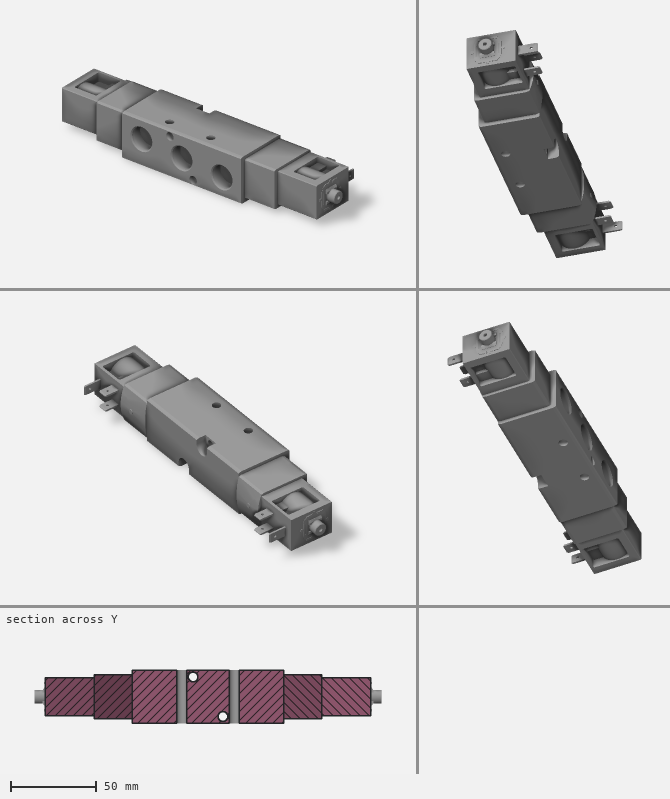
import cadquery as cq


total_length = 202.0
body_length = 88.5
adapter_length = 22.0
coil_length = 28.7
body_end = body_length / 2
adapter_end = body_end + adapter_length
coil_end = adapter_end + coil_length
plunger_end = total_length / 2

body_height = 31.0
back_y = 37.0
body_bevel_y = 2.2
body_bevel_mid_y = 0.8
body_bevel_mid_z = 0.3
body_bevel_z = 0.8
port_diameter = 15.0
port_mouth_diameter = 16.4
port_mouth_chamfer = (port_mouth_diameter - port_diameter) / 2
port_depth = 8.0
port_pitch = 30.0
port_stagger = 2.5
screw_hole_diameter = 5.5
mount_hole_x = 8.7
mount_hole_z = 11.5
screw_recess_width = 10.0
screw_recess_depth = 6.5
cross_hole_x = 15.4
cross_hole_y = 8.0

adapter_height = 26.0
adapter_front_y = 3.6
adapter_bevel_y = 1.8
adapter_bevel_z = 0.6
crown_width = 25.0
crown_rise_outer = 2.6
crown_rise_inner = 1.6
button_diameter = 3.2
button_x = 56.8
button_top_y = 39.6

coil_height = 22.5
coil_front_y = 7.0
coil_chamfer = 0.5
axis_y = 20.0

window_inner_x = 73.4
window_outer_x = 90.0
window_front_y = 12.1
window_back_y = 35.2
window_corner_radius = 1.0
window_floor_z = 5.0
winding_radius = 10.3
block_outer_x = 79.8
block_front_y = 27.5
block_top_z = 7.3

blade_width = 6.3
blade_thickness = 1.2
blade_hole_diameter = 1.65
blade_tip_length = 1.0
blade_tip_chamfer = 0.5
blade_hole_inset = 4.0
side_blade_x = 74.8
side_blade_z = 5.3
side_blade_tip_y = 46.7
end_blade_x = 89.3
end_blade_tip_y = 49.0

plunger_diameter = 8.0
plunger_chamfer = 0.3
plunger_hole_diameter = 2.5
plunger_hole_depth = 2.0
nut_width = 16.5
nut_height = 17.8
nut_corner_radius = 4.9
nut_thickness = 0.2
side_ear_diameter = 2.5
end_ear_diameter = 1.75
ear_offset = 9.3
lug_inner_y = 1.8
lug_outer_y = 5.9
lug_inner_z = 7.3
lug_outer_z = 8.7
lug_rise = 0.5
slot_inner_y = 6.3
slot_outer_y = 7.3
slot_half_length = 3.6
tooth_width = 9.3
tooth_inner_z = 2.5
tooth_tip_z = 3.8
tooth_foot_z = 5.3
tooth_foot_rise = 0.5
tooth_rise = 1.2


def block(x_range, y_range, z_range):
    """Box between two limits on each axis."""
    size = [high - low for low, high in (x_range, y_range, z_range)]
    corner = (x_range[0], y_range[0], z_range[0])
    return cq.Workplane("XY").box(*size, centered=False).translate(corner)


def rod_along_x(diameter, x_start, x_stop, y, z):
    return cq.Workplane("YZ", origin=(x_start, y, z)).circle(diameter / 2).extrude(x_stop - x_start)


def rod_along_y(diameter, y_start, y_stop, x, z):
    plane = cq.Plane(origin=(x, y_start, z), xDir=(1, 0, 0), normal=(0, 1, 0))
    return cq.Workplane(plane).circle(diameter / 2).extrude(y_stop - y_start)


def beveled_bar(x_start, x_stop, front_y, half_height, bevel):
    """Bar along X up to the back face; `bevel` lists the (y, z) setbacks mirrored to all four edges."""
    top_front = [(front_y + dy, half_height - dz) for dy, dz in bevel]
    bottom_front = [(y, -z) for y, z in reversed(top_front)]
    front = top_front + bottom_front
    back = [(front_y + back_y - y, z) for y, z in reversed(front)]
    return (
        cq.Workplane("YZ", origin=(x_start, 0, 0))
        .polyline(front + back)
        .close()
        .extrude(x_stop - x_start)
    )


def port(x, z):
    """Cutter for one port with a countersunk mouth."""
    bore = rod_along_y(port_diameter, 0, port_depth, x, z)
    plane = cq.Plane(origin=(x, 0, z), xDir=(1, 0, 0), normal=(0, 1, 0))
    mouth = (
        cq.Workplane(plane)
        .circle(port_mouth_diameter / 2)
        .workplane(offset=port_mouth_chamfer)
        .circle(port_diameter / 2)
        .loft()
    )
    return bore.union(mouth)


def mount_hole(side):
    """Cutter for a through hole whose recess at the back opens to the top (1) or bottom (-1)."""
    x = -side * mount_hole_x
    z = side * mount_hole_z
    recess_floor_y = back_y - screw_recess_depth
    half_width = screw_recess_width / 2
    hole = rod_along_y(screw_hole_diameter, 0, back_y, x, z)
    recess = rod_along_y(screw_recess_width, recess_floor_y, back_y, x, z)
    opening = block(
        (x - half_width, x + half_width),
        (recess_floor_y, back_y),
        sorted((z, side * body_height / 2)),
    )
    return hole.union(recess).union(opening)


def make_body():
    half_height = body_height / 2
    bevel = [
        (body_bevel_y, 0),
        (body_bevel_mid_y, body_bevel_mid_z),
        (0, body_bevel_z),
    ]
    body = beveled_bar(-body_end, body_end, 0, half_height, bevel)
    for step in (-1, 0, 1):
        body = body.cut(port(step * port_pitch, -step * port_stagger))
    for side in (1, -1):
        body = body.cut(mount_hole(side))
    cross_holes = (
        cq.Workplane("XY", origin=(0, cross_hole_y, -half_height))
        .pushPoints([(-cross_hole_x, 0), (cross_hole_x, 0)])
        .circle(screw_hole_diameter / 2)
        .extrude(body_height)
    )
    return body.cut(cross_holes)


def crown_section(workplane, rise):
    """Closed arch outline standing on the back face of the adapter."""
    half_width = crown_width / 2
    return (
        workplane.moveTo(back_y, -half_width)
        .threePointArc((back_y + rise, 0), (back_y, half_width))
        .close()
    )


def make_adapter():
    half_height = adapter_height / 2
    bevel = [(adapter_bevel_y, 0), (0, adapter_bevel_z)]
    adapter = beveled_bar(body_end, adapter_end, adapter_front_y, half_height, bevel)
    crown = crown_section(cq.Workplane("YZ", origin=(body_end, 0, 0)), crown_rise_inner)
    crown = crown_section(crown.workplane(offset=adapter_length), crown_rise_outer).loft(ruled=True)
    button = rod_along_y(button_diameter, back_y - button_diameter, button_top_y, button_x, 0)
    return adapter.union(crown).union(button)


def coil_window():
    """Cutter for the upper window; it leaves the winding and the terminal block standing."""
    window = block(
        (window_inner_x, window_outer_x),
        (window_front_y, window_back_y),
        (window_floor_z, coil_height / 2),
    )
    window = window.edges("|Z").fillet(window_corner_radius)
    terminal_block = block(
        (window_inner_x, block_outer_x),
        (block_front_y, window_back_y),
        (window_floor_z, block_top_z),
    )
    winding = rod_along_x(2 * winding_radius, window_inner_x, window_outer_x, axis_y, 0)
    return window.cut(terminal_block).cut(winding)


def blade(tip_y):
    """Blade lying flat on the XY plane at x = 0, tapered at its tip and pierced by a round hole."""
    half_width = blade_width / 2
    half_thickness = blade_thickness / 2
    root_y = window_back_y
    shoulder_y = tip_y - blade_tip_length
    stem = block((-half_width, half_width), (root_y, shoulder_y), (-half_thickness, half_thickness))
    tip = (
        cq.Workplane(cq.Plane(origin=(0, shoulder_y, 0), xDir=(1, 0, 0), normal=(0, 1, 0)))
        .rect(blade_width, blade_thickness)
        .workplane(offset=blade_tip_length)
        .rect(blade_width - 2 * blade_tip_chamfer, blade_thickness - 2 * blade_tip_chamfer)
        .loft(ruled=True)
    )
    hole = (
        cq.Workplane("XY", origin=(0, tip_y - blade_hole_inset, -half_thickness))
        .circle(blade_hole_diameter / 2)
        .extrude(blade_thickness)
    )
    return stem.union(tip).cut(hole)


def push_nut():
    """Thin retaining plate with round ears, raised corner lugs and two teeth gripping the plunger."""
    nut = block(
        (coil_end, coil_end + nut_thickness),
        (axis_y - nut_width / 2, axis_y + nut_width / 2),
        (-nut_height / 2, nut_height / 2),
    )
    nut = nut.edges("|X").fillet(nut_corner_radius)
    for side in (1, -1):
        for diameter, y, z in (
            (side_ear_diameter, axis_y + side * ear_offset, 0),
            (end_ear_diameter, axis_y, side * ear_offset),
        ):
            nut = nut.union(rod_along_x(diameter, coil_end, coil_end + nut_thickness, y, z))
        slot = block(
            (coil_end, coil_end + nut_thickness),
            sorted((axis_y + side * slot_inner_y, axis_y + side * slot_outer_y)),
            (-slot_half_length, slot_half_length),
        )
        nut = nut.cut(slot)
        z_range = sorted((side * lug_inner_z, side * lug_outer_z))
        for y_range in (
            (axis_y - lug_outer_y, axis_y - lug_inner_y),
            (axis_y + lug_inner_y, axis_y + lug_outer_y),
        ):
            nut = nut.union(block((coil_end, coil_end + lug_rise), y_range, z_range))
        tooth_outline = [
            (coil_end, side * tooth_inner_z),
            (coil_end + tooth_rise, side * tooth_inner_z),
            (coil_end + tooth_rise, side * tooth_tip_z),
            (coil_end + tooth_foot_rise, side * tooth_foot_z),
            (coil_end, side * tooth_foot_z),
        ]
        tooth = (
            cq.Workplane("XZ", origin=(0, axis_y, 0))
            .polyline(tooth_outline)
            .close()
            .extrude(tooth_width / 2, both=True)
        )
        nut = nut.union(tooth)
    return nut


def plunger():
    stub = rod_along_x(plunger_diameter, coil_end, plunger_end, axis_y, 0)
    stub = stub.faces(">X").chamfer(plunger_chamfer)
    hole_start = plunger_end - plunger_hole_depth
    return stub.cut(rod_along_x(plunger_hole_diameter, hole_start, plunger_end, axis_y, 0))


def make_coil():
    half_height = coil_height / 2
    coil = block((adapter_end, coil_end), (coil_front_y, back_y), (-half_height, half_height))
    coil = coil.edges("|X and <Y").chamfer(coil_chamfer)
    coil = coil.cut(coil_window()).cut(coil_window().mirror("XY"))
    for side in (1, -1):
        coil = coil.union(blade(side_blade_tip_y).translate((side_blade_x, 0, side * side_blade_z)))
    end_blade = blade(end_blade_tip_y).rotate((0, 0, 0), (0, 1, 0), 90)
    coil = coil.union(end_blade.translate((end_blade_x, 0, 0)))
    return coil.union(push_nut()).union(plunger())


body = make_body()
right_adapter = make_adapter()
right_coil = make_coil()
end_solids = []
for right_part in (right_adapter, right_coil):
    end_solids.append(right_part.val())
    end_solids.append(right_part.mirror("YZ").val())

result = cq.Compound.makeCompound([body.val(), *end_solids])